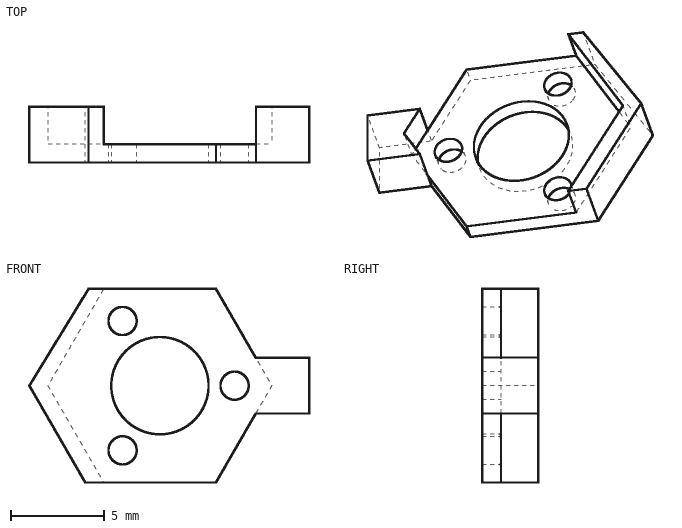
import cadquery as cq
import math

depth = 3.0
plate_thickness = depth / 3
hex_radius = 6.0
overall_length = 15.0
wall_shift = hex_radius / 6
upper_corner_offset = 0.18
tab_height = 3.0
bore_diameter = 5.2
screw_hole_diameter = 1.5
screw_circle_radius = hex_radius * 2 / 3
screw_hole_count = 3

half_height = hex_radius * math.sqrt(3) / 2
half_side = hex_radius / 2
left_tip = -hex_radius - wall_shift
lower_left = -half_side - wall_shift
upper_left = lower_left + upper_corner_offset
tab_end = left_tip + overall_length


def extrude_outline(points, length):
    """Extrude an XZ outline from the front face, Y = 0, toward +Y."""
    return cq.Workplane("XZ").polyline(points).close().extrude(-length)


def cylinder_cut(x, z, diameter):
    """Cylinder along Y, long enough to pass through the whole part."""
    return cq.Workplane("XZ").center(x, z).circle(diameter / 2).extrude(-depth)


body = extrude_outline(
    [
        (left_tip, 0),
        (upper_left, half_height),
        (half_side, half_height),
        (hex_radius, 0),
        (half_side, -half_height),
        (lower_left, -half_height),
    ],
    depth,
)

tab = cq.Workplane("XY").box(tab_end, depth, tab_height, centered=(False, False, True))

hexagon = [
    (hex_radius * math.cos(math.radians(angle)), hex_radius * math.sin(math.radians(angle)))
    for angle in range(0, 360, 60)
]
recess = extrude_outline(hexagon, depth).translate((0, plate_thickness, 0))

result = body.union(tab).cut(recess)

result = result.cut(cylinder_cut(0, 0, bore_diameter))
for index in range(screw_hole_count):
    angle = 2 * math.pi * index / screw_hole_count
    hole_x = screw_circle_radius * math.cos(angle)
    hole_z = screw_circle_radius * math.sin(angle)
    result = result.cut(cylinder_cut(hole_x, hole_z, screw_hole_diameter))